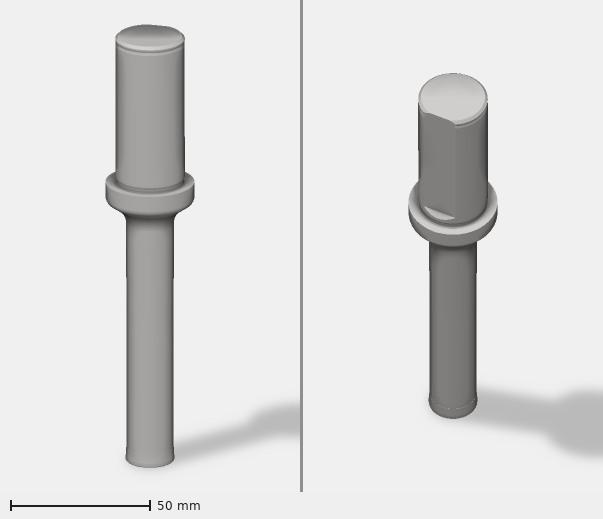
import math

import cadquery as cq


shank_length = 56.0
shank_radius = 24.99 / 2
groove_radius = 24.5 / 2
end_chamfer = 1.0
end_land = 0.5
end_groove_depth = 2.2
end_taper_bottom_depth = 3.2

undercut_top = 2.1
undercut_taper_height = 0.8
undercut_fillet = 0.5
undercut_depth = 0.15
undercut_rim_radius = 13.0

flat_distance = 10.75
flat_bottom = 5.1

collar_radius = 32.0 / 2
collar_edge_radius = 2.4
flare_angle = math.radians(55.0)
flare_radius = 7.3
flare_bottom = -15.9

neck_radius = 17.23 / 2
neck_bottom = -20.8
bar_radius = 16.9 / 2
taper_bottom = -56.7

tip_top = -101.45
tip_step = 0.08
tip_radius = 8.75
tip_flare_bulge = 0.05
tip_land_top = -105.2
tip_land_bottom = -106.45
tip_chamfer = 0.3
tip_bottom = -107.0
tip_face_radius = 3.45


def point_on_arc(center, radius, angle):
    """Point at an angle, counted from the horizontal, on an arc in the profile plane."""
    return (
        center[0] + radius * math.cos(angle),
        center[1] + radius * math.sin(angle),
    )


def holder_profile():
    """Half section of the holder in the XZ plane."""
    flare_center = (neck_radius + flare_radius, flare_bottom)
    flare_top = point_on_arc(flare_center, flare_radius, math.pi - flare_angle)
    flare_middle = point_on_arc(flare_center, flare_radius, math.pi - flare_angle / 2)

    corner_z = flare_top[1] + (collar_radius - flare_top[0]) / math.tan(flare_angle)
    edge_top = corner_z + collar_edge_radius * math.tan(flare_angle / 2)
    edge_center = (collar_radius - collar_edge_radius, edge_top)
    edge_middle = point_on_arc(edge_center, collar_edge_radius, -flare_angle / 2)
    edge_end = point_on_arc(edge_center, collar_edge_radius, -flare_angle)

    fillet_center = (groove_radius + undercut_fillet, undercut_fillet - undercut_depth)
    fillet_middle = point_on_arc(fillet_center, undercut_fillet, math.radians(225.0))

    land_top = shank_length - end_chamfer
    return (
        cq.Workplane("XZ")
        .moveTo(0, shank_length)
        .lineTo(shank_radius - end_chamfer, shank_length)
        .lineTo(shank_radius, land_top)
        .lineTo(shank_radius, land_top - end_land)
        .lineTo(groove_radius, shank_length - end_groove_depth)
        .lineTo(shank_radius, shank_length - end_taper_bottom_depth)
        .lineTo(shank_radius, undercut_top)
        .lineTo(groove_radius, undercut_top - undercut_taper_height)
        .lineTo(groove_radius, fillet_center[1])
        .threePointArc(fillet_middle, (fillet_center[0], -undercut_depth))
        .lineTo(undercut_rim_radius, 0)
        .lineTo(collar_radius, 0)
        .lineTo(collar_radius, edge_top)
        .threePointArc(edge_middle, edge_end)
        .lineTo(*flare_top)
        .threePointArc(flare_middle, (neck_radius, flare_bottom))
        .lineTo(neck_radius, neck_bottom)
        .lineTo(bar_radius, taper_bottom)
        .lineTo(bar_radius, tip_top)
        .lineTo(0, tip_top)
        .close()
    )


def tip_profile():
    """Half section of the tip in the XZ plane."""
    shoulder_radius = bar_radius + tip_step
    flare_middle = (
        (shoulder_radius + tip_radius) / 2 - tip_flare_bulge,
        (tip_top + tip_land_top) / 2,
    )
    return (
        cq.Workplane("XZ")
        .moveTo(0, tip_top)
        .lineTo(shoulder_radius, tip_top)
        .threePointArc(flare_middle, (tip_radius, tip_land_top))
        .lineTo(tip_radius, tip_land_bottom)
        .lineTo(tip_radius - tip_chamfer, tip_land_bottom - tip_chamfer)
        .lineTo(tip_face_radius, tip_bottom)
        .lineTo(0, tip_bottom)
        .close()
    )


def turn(profile):
    """Revolve a half section about the Z axis."""
    return profile.revolve(360, (0, 0), (0, 1))


def shank_flat_cutter():
    """Material beyond the flat, ending in a 45 degree ramp at the bottom."""
    cutter_depth = collar_radius - flat_distance
    outer_y = flat_distance + cutter_depth
    return (
        cq.Workplane("YZ")
        .moveTo(flat_distance, shank_length)
        .lineTo(flat_distance, flat_bottom)
        .lineTo(outer_y, flat_bottom - cutter_depth)
        .lineTo(outer_y, shank_length)
        .close()
        .extrude(collar_radius, both=True)
    )


holder = turn(holder_profile()).cut(shank_flat_cutter())
tip = turn(tip_profile())

result = cq.Compound.makeCompound([holder.val(), tip.val()])